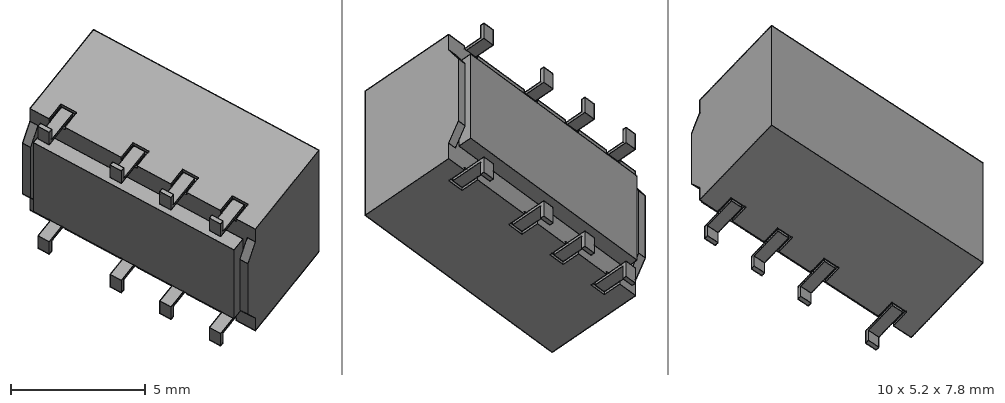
import cadquery as cq

body_length = 10.0
body_depth = 4.3
body_height = 6.5
overall_depth = 5.2
overall_height = 7.8

rear_y = overall_depth / 2
front_y = rear_y - body_depth
lead_front_y = -overall_depth / 2

pad_length = 8.9
pad_height = 4.4
pad_thickness = 0.6

rail_width = 0.36
rail_projection = 0.5
rail_base_height = 4.88
rail_crest_height = 3.25

lead_positions = [-3.8, -0.6, 1.6, 3.8]
lead_width = 0.5
lead_thickness = 0.15
foot_thickness = 0.17
lead_embedment = 0.7
lead_clearance = 0.1


def block(x_center, x_size, y_min, y_max, z_min, z_max):
    """Box centered on x_center, spanning the given Y and Z limits."""
    return cq.Workplane("XY").box(
        x_size, y_max - y_min, z_max - z_min, centered=(True, False, False)
    ).translate((x_center, y_min, z_min))


def make_pad():
    return block(0, pad_length, front_y - pad_thickness, front_y, -pad_height / 2, pad_height / 2)


def make_rail(x_min):
    """Rail with sloped ends, extruded along +X from x_min."""
    crest_y = front_y - rail_projection
    return (
        cq.Workplane("YZ", origin=(x_min, 0, 0))
        .moveTo(front_y, -rail_base_height / 2)
        .lineTo(crest_y, -rail_crest_height / 2)
        .lineTo(crest_y, rail_crest_height / 2)
        .lineTo(front_y, rail_base_height / 2)
        .close()
        .extrude(rail_width)
    )


def make_pocket(x):
    """Recess in the top face that leaves clearance around one lead."""
    pocket_width = lead_width + 2 * lead_clearance
    pocket_end_y = front_y + lead_embedment + lead_clearance
    top_z = body_height / 2
    return block(x, pocket_width, front_y, pocket_end_y, top_z - lead_thickness, top_z)


def make_lead(x):
    """Upper lead: an arm lying on the pocket floor and a foot turned up at its front."""
    top_z = body_height / 2
    floor_z = top_z - lead_thickness
    arm = block(x, lead_width, lead_front_y, front_y + lead_embedment, floor_z, top_z)
    foot = block(
        x, lead_width, lead_front_y, lead_front_y + foot_thickness, floor_z, overall_height / 2
    )
    return arm.union(foot)


result = block(0, body_length, front_y, rear_y, -body_height / 2, body_height / 2)
result = result.union(make_pad())

for rail_x in (-body_length / 2, body_length / 2 - rail_width):
    result = result.union(make_rail(rail_x))

for lead_x in lead_positions:
    pocket = make_pocket(lead_x)
    lead = make_lead(lead_x)
    result = result.cut(pocket).cut(pocket.mirror("XY"))
    result = result.union(lead).union(lead.mirror("XY"))